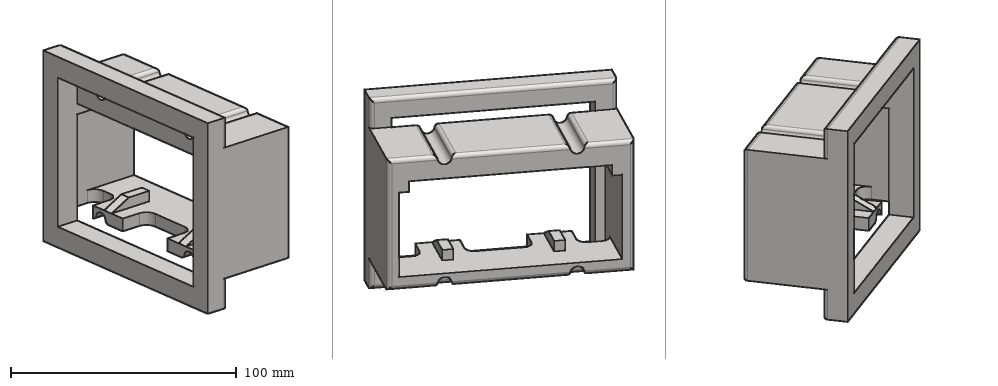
import cadquery as cq
import math

WIDTH = 112.0
DEPTH = 48.4
FRAME_HEIGHT = 91.3
FRAME_DEPTH = 11.4
FRAME_BORDER = 10.0
EDGE_RADIUS = 2.0

SLEEVE_HEIGHT = 62.7
WALL = 5.5
ROOF_THICKNESS = 11.2
FLOOR_THICKNESS = 6.2
CORNER_BLOCK_HEIGHT = 5.0

GROOVE_X = 30.0
GROOVE_RADIUS = 3.2
GROOVE_DEPTH = 4.4
GROOVE_SHIFT = 0.1

TAB_X = 25.3
TAB_WIDTH = 20.3
NOTCH_END = 26.0
NOTCH_RADIUS = 5.0
RIB_WIDTH = 5.0
RIB_HEIGHT = 5.0
RIB_LENGTH = 22.0
RIB_RAMP = 10.1

SLEEVE_TOP = SLEEVE_HEIGHT / 2
FLOOR_TOP = -SLEEVE_TOP + FLOOR_THICKNESS
CAVITY_WIDTH = WIDTH - 2 * WALL
WINDOW_WIDTH = WIDTH - 2 * FRAME_BORDER
WINDOW_HEIGHT = FRAME_HEIGHT - 2 * FRAME_BORDER


def block(width, height, y_start, y_end, z_bottom, x_center=0):
    """Box given by its width, height, front and back planes and underside."""
    return (
        cq.Workplane("XY")
        .box(width, y_end - y_start, height, centered=(True, False, False))
        .translate((x_center, y_start, z_bottom))
    )


def make_frame():
    """Rectangular front frame with rounded rear edges."""
    outer = block(WIDTH, FRAME_HEIGHT, 0, FRAME_DEPTH, -FRAME_HEIGHT / 2)
    outer = outer.faces(">Y").edges().fillet(EDGE_RADIUS)
    window = block(WINDOW_WIDTH, WINDOW_HEIGHT, 0, FRAME_DEPTH, -WINDOW_HEIGHT / 2)
    return outer.cut(window)


def make_sleeve():
    """Open sleeve: side walls flush with the frame, thick roof and thinner floor."""
    outer = block(WIDTH, SLEEVE_HEIGHT, 0, DEPTH, -SLEEVE_TOP)
    outer = outer.faces(">Y").edges().fillet(EDGE_RADIUS)
    mouth = block(WINDOW_WIDTH, SLEEVE_HEIGHT, 0, FRAME_DEPTH, -SLEEVE_TOP)
    block_bottom = SLEEVE_TOP - ROOF_THICKNESS - CORNER_BLOCK_HEIGHT
    cavity = block(CAVITY_WIDTH, block_bottom - FLOOR_TOP, FRAME_DEPTH, DEPTH, FLOOR_TOP)
    upper_cavity = block(WINDOW_WIDTH, CORNER_BLOCK_HEIGHT, FRAME_DEPTH, DEPTH, block_bottom)
    return outer.cut(mouth).cut(cavity).cut(upper_cavity)


def make_groove(x_center):
    """Round-bottomed groove in the roof, its lips rounded tangent to roof and bottom."""
    arc_z = SLEEVE_TOP - GROOVE_DEPTH + GROOVE_RADIUS
    lip_z = SLEEVE_TOP - EDGE_RADIUS
    centers_apart = GROOVE_RADIUS + EDGE_RADIUS
    lip_x = math.sqrt(centers_apart**2 - (arc_z - lip_z) ** 2)
    tangent_x = lip_x * GROOVE_RADIUS / centers_apart
    tangent_z = arc_z + (lip_z - arc_z) * GROOVE_RADIUS / centers_apart
    lip_angle = (math.pi / 2 + math.atan2(tangent_z - lip_z, lip_x - tangent_x)) / 2
    lip_mid_x = lip_x - EDGE_RADIUS * math.cos(lip_angle)
    lip_mid_z = lip_z + EDGE_RADIUS * math.sin(lip_angle)
    return (
        cq.Workplane("XZ")
        .moveTo(-lip_x, SLEEVE_TOP)
        .threePointArc((-lip_mid_x, lip_mid_z), (-tangent_x, tangent_z))
        .threePointArc((0, SLEEVE_TOP - GROOVE_DEPTH), (tangent_x, tangent_z))
        .threePointArc((lip_mid_x, lip_mid_z), (lip_x, SLEEVE_TOP))
        .close()
        .extrude(-(DEPTH - FRAME_DEPTH))
        .translate((x_center, FRAME_DEPTH, 0))
    )


def make_notch(x_left, x_right):
    """Cut-out in the front of the floor with rounded inner corners."""
    x_center = (x_left + x_right) / 2
    notch = block(x_right - x_left, FLOOR_THICKNESS, FRAME_DEPTH, NOTCH_END, -SLEEVE_TOP, x_center)
    return notch.edges("|Z and >Y").fillet(NOTCH_RADIUS)


def make_rib(x_center):
    """Rib on a floor tab, ramping up from the tab's front edge."""
    return (
        cq.Workplane("YZ")
        .moveTo(FRAME_DEPTH, FLOOR_TOP)
        .lineTo(FRAME_DEPTH + RIB_RAMP, FLOOR_TOP + RIB_HEIGHT)
        .lineTo(FRAME_DEPTH + RIB_LENGTH, FLOOR_TOP + RIB_HEIGHT)
        .lineTo(FRAME_DEPTH + RIB_LENGTH, FLOOR_TOP)
        .close()
        .extrude(RIB_WIDTH / 2, both=True)
        .translate((x_center, 0, 0))
    )


result = make_frame().union(make_sleeve())

for side in (-1, 1):
    groove = make_groove(side * GROOVE_X - GROOVE_SHIFT)
    result = result.cut(groove).cut(groove.mirror("XY"))

tab_inner = TAB_X - TAB_WIDTH / 2
tab_outer = TAB_X + TAB_WIDTH / 2
cavity_side = CAVITY_WIDTH / 2
for x_left, x_right in (
    (-cavity_side, -tab_outer),
    (-tab_inner, tab_inner),
    (tab_outer, cavity_side),
):
    result = result.cut(make_notch(x_left, x_right))

for side in (-1, 1):
    result = result.union(make_rib(side * TAB_X))